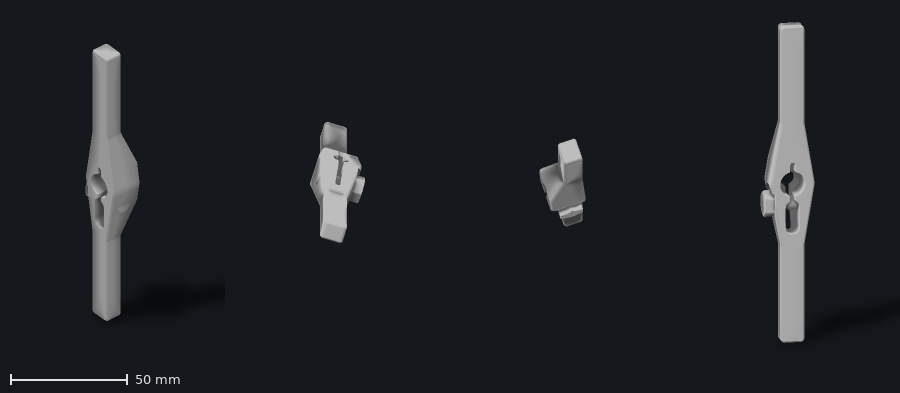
import cadquery as cq
import math

LENGTH = 139.7
HANDLE_WIDTH = 10.16
HANDLE_DEPTH = 8.382
HUB_RADIUS = 9.55
HUB_DEPTH = 15.24
HUB_HALF_LENGTH = 27.18
HUB_FLAT_HALF_LENGTH = 9.525
HUB_OVERLAP = 5.0
EDGE_FILLET = 1.524
FACE_CHAMFER = 0.66

BORE_DIAMETER = 7.0
COUNTERBORE_DIAMETER = 11.1
COUNTERBORE_DEPTH = 9.525

SLIT_WIDTH = 2.54
SLIT_TOP = 9.6
POCKET_WIDTH = 6.35
POCKET_TOP = -7.15
POCKET_BOTTOM = -22.1
POCKET_BACK_WALL = 2.5

SCREW_Y = 7.11
SCREW_Z = -9.525
SHANK_DIAMETER = 6.0
SCREW_END_X = 8.2
HEAD_SIDES = 6
HEAD_FLATS = 10.16
HEAD_END_X = -11.64
HEAD_SEAT_X = -7.55
HEAD_CHAMFER_ANGLE = 30
HEAD_FACE_DIAMETER = 10.6
SEAT_DIAMETER = 17.8

half_width = HANDLE_WIDTH / 2
back_slope = (HUB_DEPTH - HANDLE_DEPTH) / (HUB_HALF_LENGTH - HUB_FLAT_HALF_LENGTH)
hub_end_z = HUB_HALF_LENGTH + HUB_OVERLAP
hub_end_depth = HANDLE_DEPTH - back_slope * HUB_OVERLAP


def hub_tangent_point():
    """Upper right point where the straight flank touches the hub arc."""
    corner_distance = math.hypot(half_width, HUB_HALF_LENGTH)
    corner_angle = math.atan2(HUB_HALF_LENGTH, half_width)
    angle = corner_angle - math.acos(HUB_RADIUS / corner_distance)
    return HUB_RADIUS * math.cos(angle), HUB_RADIUS * math.sin(angle)


def make_handle():
    """Straight bar over the full length, rounded everywhere but on the flat face."""
    bar = cq.Workplane("XY").box(HANDLE_WIDTH, HANDLE_DEPTH, LENGTH, centered=(True, False, True))
    return bar.edges("not <Y").fillet(EDGE_FILLET)


def hub_outline():
    """Hub in the XZ plane; its flanks run on past the handle sides so its ends lie inside the bar."""
    tangent_x, tangent_z = hub_tangent_point()
    flank_slope = (tangent_x - half_width) / (HUB_HALF_LENGTH - tangent_z)
    end_x = half_width - flank_slope * HUB_OVERLAP
    return (
        cq.Workplane("XZ")
        .moveTo(end_x, -hub_end_z)
        .lineTo(tangent_x, -tangent_z)
        .threePointArc((HUB_RADIUS, 0), (tangent_x, tangent_z))
        .lineTo(end_x, hub_end_z)
        .lineTo(-end_x, hub_end_z)
        .lineTo(-tangent_x, tangent_z)
        .threePointArc((-HUB_RADIUS, 0), (-tangent_x, -tangent_z))
        .lineTo(-end_x, -hub_end_z)
        .close()
        .extrude(-HUB_DEPTH)
    )


def hub_profile():
    """Depth of the hub in the YZ plane, wider than the hub itself."""
    return (
        cq.Workplane("YZ")
        .moveTo(0, -hub_end_z)
        .lineTo(hub_end_depth, -hub_end_z)
        .lineTo(HUB_DEPTH, -HUB_FLAT_HALF_LENGTH)
        .lineTo(HUB_DEPTH, HUB_FLAT_HALF_LENGTH)
        .lineTo(hub_end_depth, hub_end_z)
        .lineTo(0, hub_end_z)
        .close()
        .extrude(2 * HUB_RADIUS, both=True)
    )


def is_on_back_rim(edge):
    """True for the left and right borders of the back, false for the creases across it."""
    middle = edge.Center()
    return middle.y > hub_end_depth and abs(middle.x) > EDGE_FILLET


def make_hub():
    blank = hub_outline().intersect(hub_profile())
    rim = [edge for edge in blank.edges("not |Y").vals() if is_on_back_rim(edge)]
    return blank.newObject(rim).fillet(EDGE_FILLET)


def make_body():
    body = make_handle().union(make_hub())
    return body.faces("<Y").edges().chamfer(FACE_CHAMFER)


def along_y(radius, start, end):
    """Cylinder on the hub axis between two depths."""
    return cq.Workplane("XZ", origin=(0, start, 0)).circle(radius).extrude(start - end)


def along_x(radius, start, end):
    """Cylinder on the screw axis between two X positions."""
    plane = cq.Workplane("YZ", origin=(start, SCREW_Y, SCREW_Z))
    return plane.circle(radius).extrude(end - start)


def make_bore():
    counterbore = along_y(COUNTERBORE_DIAMETER / 2, 0, COUNTERBORE_DEPTH)
    return along_y(BORE_DIAMETER / 2, 0, HUB_DEPTH).union(counterbore)


def round_slot(width, bottom, top):
    """Vertical round-ended slot, cut from the flat face through the full hub depth."""
    return (
        cq.Workplane("XZ")
        .center(0, (top + bottom) / 2)
        .slot2D(top - bottom, width, 90)
        .extrude(-HUB_DEPTH)
    )


def make_pocket():
    """Round-ended pocket whose floor runs parallel to the sloping back."""

    def floor_depth(z):
        return HANDLE_DEPTH - POCKET_BACK_WALL + back_slope * (z + HUB_HALF_LENGTH)

    room = (
        cq.Workplane("YZ")
        .polyline(
            [
                (0, POCKET_BOTTOM),
                (floor_depth(POCKET_BOTTOM), POCKET_BOTTOM),
                (floor_depth(POCKET_TOP), POCKET_TOP),
                (0, POCKET_TOP),
            ]
        )
        .close()
        .extrude(POCKET_WIDTH, both=True)
    )
    return round_slot(POCKET_WIDTH, POCKET_BOTTOM, POCKET_TOP).intersect(room)


def make_screw():
    head_height = HEAD_SEAT_X - HEAD_END_X
    corner_diameter = HEAD_FLATS / math.cos(math.pi / HEAD_SIDES)
    head = (
        cq.Workplane("YZ", origin=(HEAD_END_X, SCREW_Y, SCREW_Z))
        .transformed(rotate=(0, 0, 90))
        .polygon(HEAD_SIDES, corner_diameter)
        .extrude(head_height)
    )
    face_radius = HEAD_FACE_DIAMETER / 2
    cone_growth = head_height / math.tan(math.radians(HEAD_CHAMFER_ANGLE))
    corner_cone = cq.Workplane(
        cq.Solid.makeCone(
            face_radius,
            face_radius + cone_growth,
            head_height,
            cq.Vector(HEAD_END_X, SCREW_Y, SCREW_Z),
            cq.Vector(1, 0, 0),
        )
    )
    shank = along_x(SHANK_DIAMETER / 2, HEAD_SEAT_X, SCREW_END_X)
    return head.intersect(corner_cone).union(shank)


screw_seat = along_x(SEAT_DIAMETER / 2, HEAD_END_X, HEAD_SEAT_X)
result = (
    make_body()
    .cut(make_bore())
    .cut(round_slot(SLIT_WIDTH, POCKET_BOTTOM, SLIT_TOP))
    .cut(make_pocket())
    .cut(screw_seat)
    .union(make_screw())
)